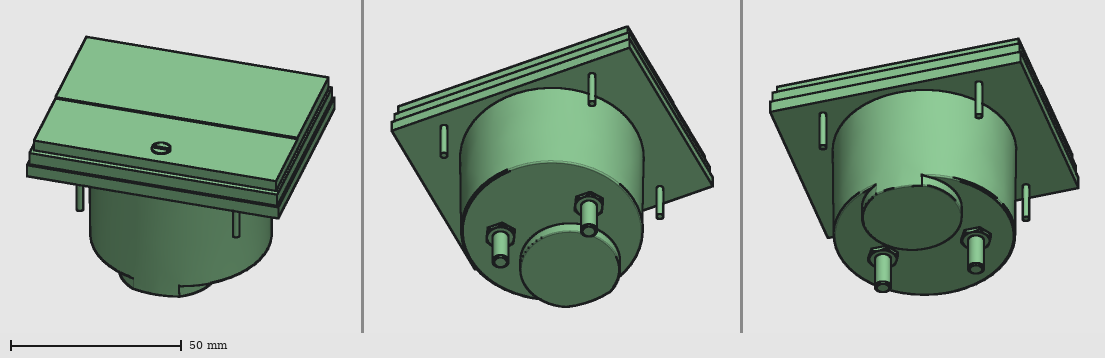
import cadquery as cq
import math


TIER_HEIGHT = 4.0
FLANGE_X, FLANGE_Y = 76.7, 58.5
FRAME_X, FRAME_Y = 75.6, 57.15
COVER_X, COVER_Y = 73.95, 54.6
COVER_CENTER_Y = 0.45
COVER_TOP = 3 * TIER_HEIGHT
PANEL_DROP = 0.5
PANEL_EDGE_Y = -4.45

SCREW_DIAMETER = 5.5
SCREW_Y = -20.4
SCREW_LENGTH = 2.0
SCREW_RISE = 0.3
SCREW_SLOT_WIDTH = 0.85
SCREW_SLOT_DEPTH = 0.6

BODY_CENTER_Y = 0.2
BODY_TOP_RADIUS = 26.9
BODY_DEPTH = 33.1
BODY_TAPER = math.radians(0.5)
BODY_EDGE_FILLET = 0.5

BOSS_RADIUS = 14.65
BOSS_CENTER_Y = BODY_CENTER_Y - 12.8
BOSS_DEPTH = 36.8
BOSS_EDGE_FILLET = 0.3

PIN_DIAMETER = 2.0
PIN_LENGTH = 12.65
PIN_SPACING = 47.7

STUD_DIAMETER = 4.75
STUD_SPACING = 28.45
STUD_Y = BODY_CENTER_Y + 5.1
STUD_DEPTH = 45.7
STUD_CHAMFER = 0.5
NUT_ACROSS_FLATS = 8.0
NUT_ACROSS_CORNERS = NUT_ACROSS_FLATS / math.cos(math.radians(30))
NUT_HEIGHT = 1.4
NUT_CHAMFER = 0.6


def tier(level, size_x, size_y, center_y=0.0):
    """One rectangular step of the front plate."""
    return (
        cq.Workplane("XY", origin=(0, center_y, level * TIER_HEIGHT))
        .rect(size_x, size_y)
        .extrude(TIER_HEIGHT)
    )


def front_plate():
    """Flange, frame and cover, with the lower part of the cover set back."""
    panel_cut = cq.Workplane("XY").box(
        COVER_X, FLANGE_Y, PANEL_DROP, centered=(True, False, False)
    ).translate((0, PANEL_EDGE_Y - FLANGE_Y, COVER_TOP - PANEL_DROP))
    cover = tier(2, COVER_X, COVER_Y, COVER_CENTER_Y).cut(panel_cut)
    frame = tier(1, FRAME_X, FRAME_Y)
    return tier(0, FLANGE_X, FLANGE_Y).union(frame).union(cover)


def add_screw(plate):
    """Slotted screw head standing slightly proud of the set-back panel."""
    head_top = COVER_TOP - PANEL_DROP + SCREW_RISE
    head = (
        cq.Workplane("XY", origin=(0, SCREW_Y, head_top))
        .circle(SCREW_DIAMETER / 2)
        .extrude(-SCREW_LENGTH)
    )
    slot = (
        cq.Workplane("XY", origin=(0, SCREW_Y, head_top))
        .rect(SCREW_DIAMETER, SCREW_SLOT_WIDTH)
        .extrude(-SCREW_SLOT_DEPTH)
    )
    return plate.union(head).cut(slot)


def tapered_block():
    """Housing cone, long enough to hold the boss."""
    bottom_radius = BODY_TOP_RADIUS - BOSS_DEPTH * math.tan(BODY_TAPER)
    return (
        cq.Workplane("XZ", origin=(0, BODY_CENTER_Y, 0))
        .polyline([(0, 0), (BODY_TOP_RADIUS, 0), (bottom_radius, -BOSS_DEPTH), (0, -BOSS_DEPTH)])
        .close()
        .revolve(360, (0, 0, 0), (0, 1, 0))
    )


def space_around_boss():
    """Space below the housing's back face, except for the boss itself."""
    slab = (
        cq.Workplane("XY", origin=(0, BODY_CENTER_Y, -BODY_DEPTH))
        .circle(2 * BODY_TOP_RADIUS)
        .extrude(BODY_DEPTH - STUD_DEPTH)
    )
    boss = (
        cq.Workplane("XY", origin=(0, BOSS_CENTER_Y, -BODY_DEPTH))
        .circle(BOSS_RADIUS)
        .extrude(BODY_DEPTH - STUD_DEPTH)
    )
    return slab.cut(boss)


def housing():
    """Tapered housing with the boss left standing on its back face, both with rounded rims."""
    point_on_back_face = (0, BODY_TOP_RADIUS / 2, -BODY_DEPTH)
    stepped = tapered_block().cut(space_around_boss())
    rounded_rim = (
        stepped.faces(cq.selectors.NearestToPointSelector(point_on_back_face))
        .edges(cq.selectors.RadiusNthSelector(-1))
        .fillet(BODY_EDGE_FILLET)
    )
    return rounded_rim.faces("<Z").edges().fillet(BOSS_EDGE_FILLET)


def mounting_pins():
    """Four pins hanging from the underside of the flange."""
    return (
        cq.Workplane("XY", origin=(0, BODY_CENTER_Y, 0))
        .rect(PIN_SPACING, PIN_SPACING, forConstruction=True)
        .vertices()
        .circle(PIN_DIAMETER / 2)
        .extrude(-PIN_LENGTH)
    )


def terminal(x):
    """Stud and nut; the nut has corners along X and a chamfer cut round its lower corners."""
    seat = cq.Workplane("XY", origin=(x, STUD_Y, -BODY_DEPTH))
    stud = (
        seat.circle(STUD_DIAMETER / 2)
        .extrude(BODY_DEPTH - STUD_DEPTH)
        .faces("<Z")
        .chamfer(STUD_CHAMFER)
    )
    corner_cone = (
        seat.circle(NUT_ACROSS_CORNERS / 2)
        .extrude(-NUT_HEIGHT)
        .faces("<Z")
        .chamfer(NUT_CHAMFER)
    )
    nut = seat.polygon(6, NUT_ACROSS_CORNERS).extrude(-NUT_HEIGHT).intersect(corner_cone)
    return stud.union(nut)


result = add_screw(front_plate()).union(housing()).union(mounting_pins())
for stud_x in (-STUD_SPACING / 2, STUD_SPACING / 2):
    result = result.union(terminal(stud_x))